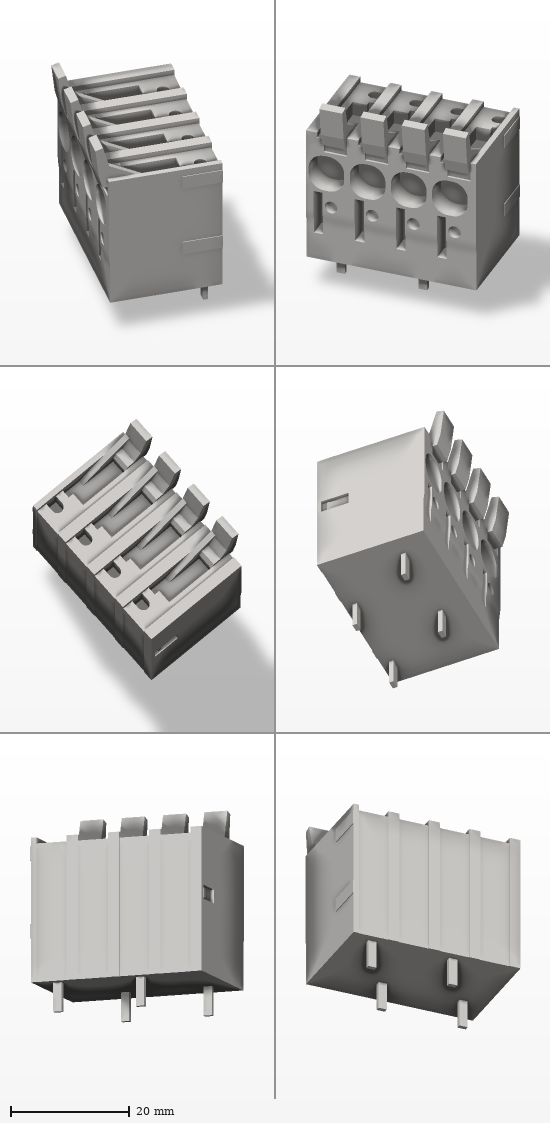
import cadquery as cq


pole_count = 4
pole_pitch = 7.5

housing_width = 31.0
housing_depth = 20.05
housing_bottom = 5.02
housing_top = 29.95

channel_left = 2.0
channel_right = 7.45
channel_floor = 28.95
back_panel_setback = 0.1

pocket_left = 3.28
pocket_floor = 26.4
pocket_back = 13.33
pocket_step_left = 5.9
pocket_step_back = 14.3

test_slot_left = 4.77
test_slot_width = 2.15
test_slot_center_y = 16.9
test_slot_depth = 3.65

entry_center_x = 3.75
entry_center_z = 22.25
entry_width = 6.48
entry_height = 6.77
entry_corner_radius = 2.85
entry_depth = 4.15

probe_center_x = 4.6
probe_center_z = 15.75
probe_diameter = 2.25
probe_depth = 3.65

front_slot_left = 1.4
front_slot_right = 3.05
front_slot_bottom = 10.05
front_slot_top = 18.35
front_slot_depth = 3.65

setback_top = 14.6
setback_bottom = 11.8
setback_depth = 0.22

recess_front = 14.15
recess_back = 19.25
recess_bottom = 17.6
recess_top = 20.0
recess_depth = 0.65
ramp_front = 15.8
ramp_back = 18.28
ramp_bottom = 17.95
ramp_top = 19.62
ramp_height = 0.4

pad_thickness = 0.15
pad_length = 7.15
pad_height = 2.48
pad_bottoms = [12.65, 26.1]

lever_left = pocket_left
lever_right = channel_right
lever_foot_back = 4.0
lip_bottom = 28.3
rib_thickness = 1.05
rib_root = (0.35, 32.48)
rib_bend = (8.92, 27.85)
rib_end = 10.65
rib_overlap_y = 1.82

pin_left = 3.53
pin_width = 1.53
pin_thickness = 0.85
pin_row_fronts = [5.15, 17.62]


def box(x_min, x_max, y_min, y_max, z_min, z_max):
    """Box given by its limits on each axis."""
    size = (x_max - x_min, y_max - y_min, z_max - z_min)
    return cq.Workplane("XY").box(*size, centered=False).translate((x_min, y_min, z_min))


def side_profile(x_start):
    """Workplane for a Y-Z outline that extrudes toward +X from x_start."""
    return cq.Workplane("YZ", origin=(x_start, 0, 0))


def housing_block():
    """Full-width block whose front face steps back along an S-curve below the entries."""
    setback_middle = (setback_top + setback_bottom) / 2
    half_rise = (setback_top - setback_bottom) / 2
    arc_sag = setback_depth / 8
    upper_arc_z = setback_top - half_rise / 2
    lower_arc_z = setback_bottom + half_rise / 2
    return (
        side_profile(0)
        .moveTo(0, housing_top)
        .lineTo(0, setback_top)
        .threePointArc((arc_sag, upper_arc_z), (setback_depth / 2, setback_middle))
        .threePointArc((setback_depth - arc_sag, lower_arc_z), (setback_depth, setback_bottom))
        .lineTo(setback_depth, housing_bottom)
        .lineTo(housing_depth, housing_bottom)
        .lineTo(housing_depth, housing_top)
        .close()
        .extrude(housing_width)
    )


def channel_cut():
    """Channel between the partitions, with the back panel of the pole set slightly forward."""
    channel = box(channel_left, channel_right, 0, housing_depth, channel_floor, housing_top)
    back_panel = box(
        channel_left, channel_right,
        housing_depth - back_panel_setback, housing_depth,
        housing_bottom, housing_top,
    )
    return channel.union(back_panel)


def pocket_cut():
    """Lever pocket, open to the front and stepped at its back end."""
    main = box(pocket_left, channel_right, 0, pocket_back, pocket_floor, housing_top)
    step = box(pocket_step_left, channel_right, 0, pocket_step_back, pocket_floor, housing_top)
    return main.union(step)


def test_slot_cut():
    """Slot in the channel floor with a half-round left end."""
    radius = test_slot_width / 2
    arc_x = test_slot_left + radius
    y_min = test_slot_center_y - radius
    y_max = test_slot_center_y + radius
    return (
        cq.Workplane("XY", origin=(0, 0, channel_floor - test_slot_depth))
        .moveTo(channel_right, y_min)
        .lineTo(channel_right, y_max)
        .lineTo(arc_x, y_max)
        .threePointArc((test_slot_left, test_slot_center_y), (arc_x, y_min))
        .close()
        .extrude(test_slot_depth)
    )


def wire_entry_cut():
    """Wire entry: a rounded rectangle sunk into the front face."""
    return (
        cq.Workplane("XZ")
        .center(entry_center_x, entry_center_z)
        .rect(entry_width, entry_height)
        .extrude(-entry_depth)
        .edges("|Y")
        .fillet(entry_corner_radius)
    )


def probe_hole_cut():
    """Round blind hole beside the upright slot."""
    return (
        cq.Workplane("XZ")
        .center(probe_center_x, probe_center_z)
        .circle(probe_diameter / 2)
        .extrude(-probe_depth)
    )


def front_slot_cut():
    """Upright slot in the front face."""
    return box(
        front_slot_left, front_slot_right, 0, front_slot_depth, front_slot_bottom, front_slot_top
    )


def latch_recess_cut():
    """Recess in the left side, less the ramp that rises toward the back from its floor."""
    recess = box(0, recess_depth, recess_front, recess_back, recess_bottom, recess_top)
    ramp = (
        cq.Workplane("XY", origin=(0, 0, ramp_bottom))
        .moveTo(recess_depth, ramp_front)
        .lineTo(recess_depth, ramp_back)
        .lineTo(recess_depth - ramp_height, ramp_back)
        .close()
        .extrude(ramp_top - ramp_bottom)
    )
    return recess.cut(ramp)


def side_pad(bottom):
    """Thin pad on the right side, running forward from the back."""
    return box(
        housing_width, housing_width + pad_thickness,
        housing_depth - pad_length, housing_depth,
        bottom, bottom + pad_height,
    )


def make_lever():
    """Lever of the first pole: handle and foot over the full width, and a rib on the right."""
    handle = (
        side_profile(lever_left)
        .moveTo(0.45, pocket_floor)
        .lineTo(0.4, 27.27)
        .threePointArc((0.5, 27.55), (0.7, 27.78))
        .lineTo(1.55, lip_bottom)
        .lineTo(-0.85, lip_bottom)
        .lineTo(-1.5, 30.62)
        .lineTo(-2.1, 36.0)
        .lineTo(-0.73, 36.4)
        .lineTo(0.55, 31.82)
        .lineTo(1.95, 29.82)
        .lineTo(2.62, 29.8)
        .lineTo(3.4, 29.7)
        .lineTo(lever_foot_back, 28.73)
        .lineTo(lever_foot_back, pocket_floor)
        .close()
        .extrude(lever_right - lever_left)
    )
    rib = (
        side_profile(lever_right - rib_thickness)
        .moveTo(*rib_root)
        .lineTo(*rib_bend)
        .lineTo(rib_end, pocket_floor)
        .lineTo(rib_overlap_y, pocket_floor)
        .lineTo(rib_overlap_y, lip_bottom)
        .close()
        .extrude(rib_thickness)
    )
    return handle.union(rib)


def make_pin(row_front):
    """Pin of the first pole, in the row that starts at the given depth."""
    return box(
        pin_left, pin_left + pin_width,
        row_front, row_front + pin_thickness,
        0, housing_bottom,
    )


def at_pole(shape, pole):
    """Copy of a first-pole shape moved to the given pole."""
    return shape.translate((pole * pole_pitch, 0, 0))


first_lever = make_lever()
levers = [at_pole(first_lever, pole) for pole in range(pole_count)]
pins = []
for pole in range(pole_count):
    row_front = pin_row_fronts[pole % len(pin_row_fronts)]
    pins.append(at_pole(make_pin(row_front), pole))

pole_cuts = [
    channel_cut(),
    pocket_cut(),
    test_slot_cut(),
    wire_entry_cut(),
    probe_hole_cut(),
    front_slot_cut(),
]

housing = housing_block().cut(latch_recess_cut())
for pad_bottom in pad_bottoms:
    housing = housing.union(side_pad(pad_bottom))
for pole in range(pole_count):
    for pole_cut in pole_cuts:
        housing = housing.cut(at_pole(pole_cut, pole))

result = cq.Compound.makeCompound(
    [
        housing.val(),
        *[lever.val() for lever in levers],
        *[pin.val() for pin in pins],
    ]
)